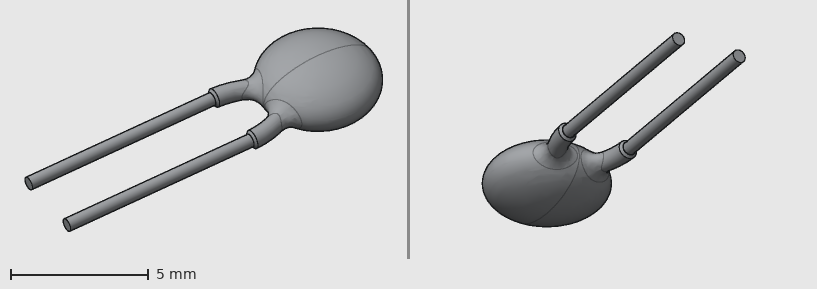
import cadquery as cq
import math

total_length = 14.03
body_diameter = 4.69
body_thickness = 2.5

lead_diameter = 0.5
lead_pitch = 2.54

sleeve_diameter = 0.73
sleeve_chamfer = 0.1
sleeve_end_y = -3.76
sleeve_bend_radius = 3.3
sleeve_bend_angle = 40
body_fillet_radius = 0.69

lead_x = lead_pitch / 2
lead_end_y = body_diameter / 2 - total_length


def make_half_body():
    """Right-hand half of a flattened ellipsoid that is round about the Z axis."""
    half_thickness = body_thickness / 2
    profile = (
        cq.Workplane("YZ")
        .moveTo(0, -half_thickness)
        .ellipseArc(body_diameter / 2, half_thickness, -90, 90, startAtCurrent=True)
        .close()
    )
    return profile.revolve(180, (0, 0, 0), (0, -1, 0))


def make_sleeve():
    """Round sleeve that bends inward from the right-hand lead into the body."""
    bend_angle = math.radians(sleeve_bend_angle)
    bend_centre_x = lead_x - sleeve_bend_radius

    def bend_point(angle):
        return (
            bend_centre_x + sleeve_bend_radius * math.cos(angle),
            sleeve_end_y + sleeve_bend_radius * math.sin(angle),
        )

    path = (
        cq.Workplane("XY")
        .moveTo(lead_x, sleeve_end_y)
        .threePointArc(bend_point(bend_angle / 2), bend_point(bend_angle))
    )
    section = cq.Workplane("XZ", origin=(lead_x, sleeve_end_y, 0)).circle(sleeve_diameter / 2)
    return section.sweep(path).faces("<Y").chamfer(sleeve_chamfer)


def fillet_joint(shape):
    """Round the closed edge where the sleeve runs into the body."""
    joint_zone = cq.selectors.BoxSelector(
        (lead_x / 2, -body_diameter / 2, -sleeve_diameter / 2),
        (lead_x, 0, sleeve_diameter / 2),
    )
    return shape.edges(joint_zone).fillet(body_fillet_radius)


def make_lead():
    """Straight round lead, from its free end to the end of the sleeve."""
    return (
        cq.Workplane("XZ", origin=(lead_x, lead_end_y, 0))
        .circle(lead_diameter / 2)
        .extrude(lead_end_y - sleeve_end_y)
    )


right_half = fillet_joint(make_half_body().union(make_sleeve())).union(make_lead())
result = right_half.union(right_half.mirror("YZ"))